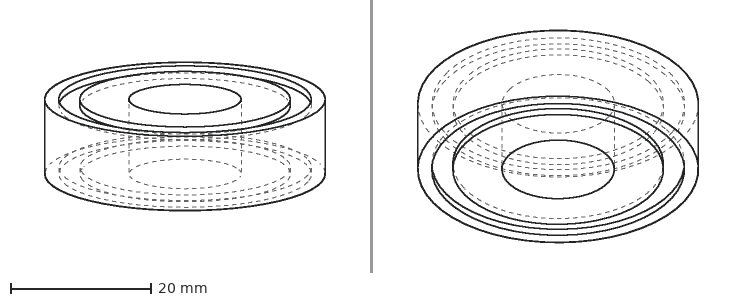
import cadquery as cq

outer_diameter = 40.0
width = 11.0
bore_diameter = 16.0
groove_outer_diameter = 36.0
groove_inner_diameter = 30.0
groove_depth = 1.0


def ring(outside, inside, height, base_z):
    """Flat ring about the Z axis, standing on the plane z = base_z."""
    return (
        cq.Workplane("XY", origin=(0, 0, base_z))
        .circle(outside / 2)
        .circle(inside / 2)
        .extrude(height)
    )


result = ring(outer_diameter, bore_diameter, width, -width / 2)

for groove_base in (-width / 2, width / 2 - groove_depth):
    groove = ring(groove_outer_diameter, groove_inner_diameter, groove_depth, groove_base)
    result = result.cut(groove)